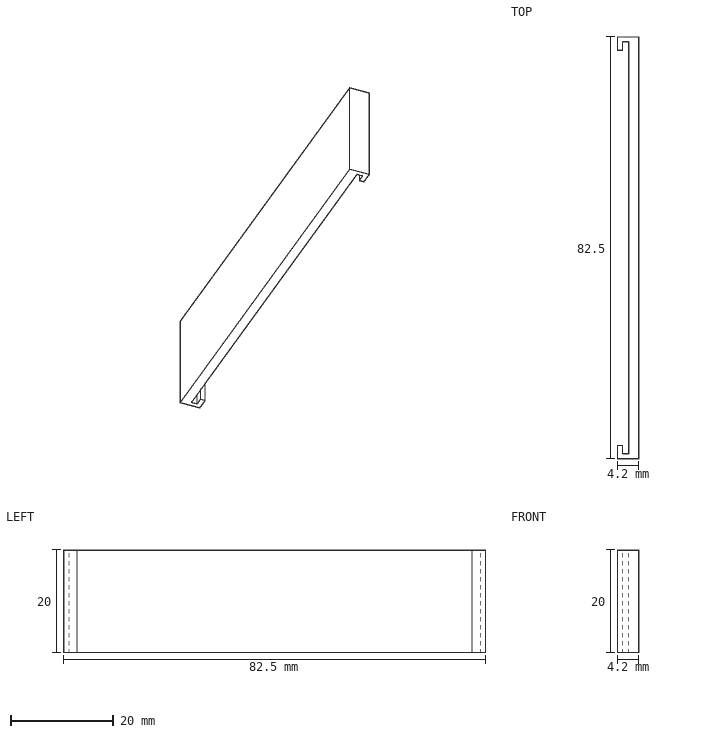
import cadquery as cq

plate_thickness = 2.0
slot_width = 1.2
lip_thickness = 1.0
end_wall = 1.0
lip_length = 2.64
length = 82.5
height = 20.0

depth = lip_thickness + slot_width + plate_thickness
back_x = depth / 2
front_x = -depth / 2
plate_front_x = back_x - plate_thickness


def make_plate():
    """Plain rectangular plate over the full length."""
    return cq.Workplane("XY").box(plate_thickness, length, height).translate(
        (back_x - plate_thickness / 2, 0, 0)
    )


def make_hook(side):
    """L-shaped hook at the +Y (side = 1) or -Y (side = -1) end."""
    outer_y = side * length / 2
    inner_wall_y = side * (length / 2 - end_wall)
    lip_tip_y = side * (length / 2 - lip_length)
    lip_back_x = front_x + lip_thickness
    outline = [
        (plate_front_x, outer_y),
        (front_x, outer_y),
        (front_x, lip_tip_y),
        (lip_back_x, lip_tip_y),
        (lip_back_x, inner_wall_y),
        (plate_front_x, inner_wall_y),
    ]
    return (
        cq.Workplane("XY")
        .workplane(offset=-height / 2)
        .polyline(outline)
        .close()
        .extrude(height)
    )


result = make_plate()
for end_side in (-1, 1):
    result = result.union(make_hook(end_side))